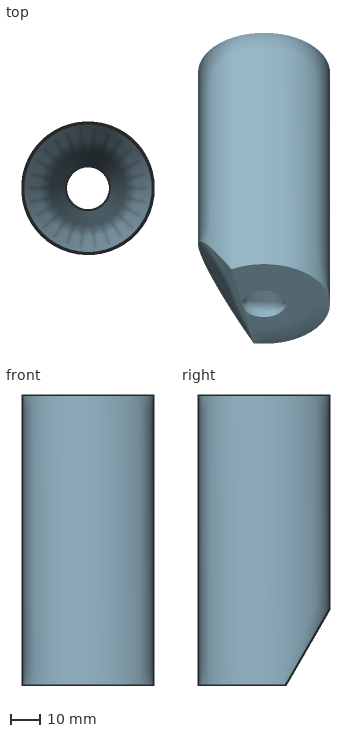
import cadquery as cq
import math

height = 100.0
outer_radius = 22.75
rim_width = 0.5
outlet_radius = 7.5
cut_angle = 60.0

inlet_radius = outer_radius - rim_width
cut_height = (outer_radius - outlet_radius) * math.tan(math.radians(cut_angle))


def outer_cylinder():
    return cq.Workplane("XY").circle(outer_radius).extrude(height)


def tapered_bore():
    """Cone that narrows from the thin rim at the top to the outlet at the base."""
    return cq.Workplane(cq.Solid.makeCone(outlet_radius, inlet_radius, height))


def sloped_flat():
    """Wedge under the +Y side; its face starts at the edge of the outlet."""
    return (
        cq.Workplane("YZ")
        .moveTo(outlet_radius, 0)
        .lineTo(outer_radius, 0)
        .lineTo(outer_radius, cut_height)
        .close()
        .extrude(outer_radius, both=True)
    )


result = outer_cylinder().cut(tapered_bore()).cut(sloped_flat())